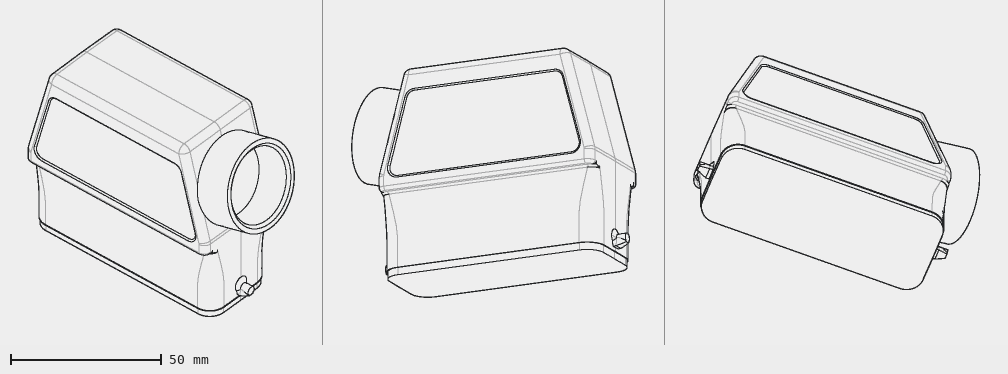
import cadquery as cq
import math

LENGTH = 96.8
HEIGHT = 70.3
BODY_HALF_LENGTH = 39.7
HOOD_HALF_WIDTH = 18.0
LEAN = 15.0
DRAFT = 0.2
CROWN = 0.4

BEND_Z = 34.3
BEND_RADIUS = 4.5
SHOULDER_Z = 28.9
HOOD_RADIUS = 2.7
SHOULDER_RADIUS = 1.2
COVE_RADIUS = 0.8

SKIRT_HALF_WIDTH = 14.7
RIM_HEIGHT = 2.5
RIM_INSET = 0.3
RIM_RADIUS = 6.0
TOP_CORNER_RADIUS = 2.9
SKIRT_CORNERS = [
    (RIM_HEIGHT, 6.3),
    (9.7, 6.3),
    (15.5, 6.0),
    (21.3, 4.8),
    (SHOULDER_Z, TOP_CORNER_RADIUS),
    (SHOULDER_Z + SHOULDER_RADIUS, TOP_CORNER_RADIUS),
]

PANEL_TOP = 62.3
PANEL_BOTTOM = 32.6
PANEL_MARGIN = 3.9
PANEL_DEPTH = 0.5
PANEL_RADIUS = 2.9
PANEL_WALL_ANGLE = 55.0

PIN_TIP_X = 44.1
PIN_Z = 6.7
PIN_RADIUS = 3.2 / 2
PIN_ROOT_X = 40.9
FLARE_RADIUS = 3.0
FLARE_Z = 7.55
FLARE_INSET = 0.2
RIB_ROOT_TOP_HALF_WIDTH = 2.5
RIB_BOTTOM_Z = 3.9
RIB_ROOT_HALF_WIDTH = 1.8
RIB_TIP_HALF_WIDTH = 0.9

PORT_RADIUS = 32.5 / 2
PORT_BORE_RADIUS = 26.9 / 2
PORT_CHAMFER = 1.1
PORT_LENGTH = 13.5
PORT_Z = 53.7

EMBED = 2.9
EDGE_TOLERANCE = 1.0

lean_slope = math.tan(math.radians(LEAN))
draft_slope = math.tan(math.radians(DRAFT))
crown_slope = math.tan(math.radians(CROWN))


def half_length_at(z):
    """Half length of the leaning part of the hood at height z."""
    return BODY_HALF_LENGTH - (z - BEND_Z) * lean_slope


def edges_where(shape, wanted):
    """Select the edges whose centre passes the test."""
    return shape.newObject([edge for edge in shape.edges().vals() if wanted(edge.Center())])


def crowned_half():
    """Side outline, front half only, drafted away from the middle plane."""
    top = half_length_at(HEIGHT)
    outline = [
        (-BODY_HALF_LENGTH, -EMBED),
        (BODY_HALF_LENGTH, -EMBED),
        (BODY_HALF_LENGTH, BEND_Z),
        (top, HEIGHT),
        (-top, HEIGHT),
        (-BODY_HALF_LENGTH, BEND_Z),
    ]
    return cq.Workplane("XZ").polyline(outline).close().extrude(HOOD_HALF_WIDTH + EMBED, taper=CROWN)


def hood_half():
    """Upper body with leaning ends and rounded edges."""
    top_half_width = HOOD_HALF_WIDTH - (HEIGHT - SHOULDER_Z) * draft_slope
    end_outline = [
        (0, SHOULDER_Z),
        (-HOOD_HALF_WIDTH, SHOULDER_Z),
        (-top_half_width, HEIGHT),
        (0, HEIGHT),
    ]
    bar = cq.Workplane("YZ").polyline(end_outline).close().extrude(BODY_HALF_LENGTH, both=True)
    hood = crowned_half().intersect(bar)

    def off_middle(c):
        return c.y < -EDGE_TOLERANCE

    def on_bend(c):
        return off_middle(c) and abs(c.z - BEND_Z) < EDGE_TOLERANCE

    def on_outline_or_top(c):
        on_long_side = c.y < -HOOD_HALF_WIDTH + EDGE_TOLERANCE and c.z > SHOULDER_Z + EDGE_TOLERANCE
        on_top = off_middle(c) and c.z > HEIGHT - EDGE_TOLERANCE
        return on_long_side or on_top

    def on_lower_edge(c):
        return off_middle(c) and c.z < SHOULDER_Z + EDGE_TOLERANCE

    hood = edges_where(hood, on_bend).fillet(BEND_RADIUS)
    hood = edges_where(hood, on_outline_or_top).fillet(HOOD_RADIUS)
    return edges_where(hood, on_lower_edge).fillet(SHOULDER_RADIUS)


def skirt_section(inset, radius):
    """Front half of the skirt's cross section, with crowned ends and rounded corners."""
    half_length = BODY_HALF_LENGTH - inset
    half_width = SKIRT_HALF_WIDTH - inset
    corner_x = half_length - half_width * crown_slope
    outline = [
        (-half_length, 0),
        (-corner_x, -half_width),
        (corner_x, -half_width),
        (half_length, 0),
        (-half_length, 0),
    ]
    return cq.Sketch().polygon(outline).vertices("<Y").fillet(radius)


def skirt_half():
    """Lower body; its corners sharpen towards the shoulder."""
    sections = [
        skirt_section(0, radius).moved(cq.Location(cq.Vector(0, 0, z)))
        for z, radius in SKIRT_CORNERS
    ]
    skirt = cq.Workplane().placeSketch(*sections).loft()
    rim = cq.Workplane().placeSketch(skirt_section(RIM_INSET, RIM_RADIUS)).extrude(RIM_HEIGHT)
    return skirt.union(rim)


def cove_half():
    """Concave round between the skirt and the underside of the hood."""
    straight_half = BODY_HALF_LENGTH - TOP_CORNER_RADIUS
    corner_y = TOP_CORNER_RADIUS - SKIRT_HALF_WIDTH
    profile = (
        cq.Workplane("YZ", origin=(-straight_half, 0, 0))
        .moveTo(-SKIRT_HALF_WIDTH, SHOULDER_Z - COVE_RADIUS)
        .radiusArc((-SKIRT_HALF_WIDTH - COVE_RADIUS, SHOULDER_Z), -COVE_RADIUS)
        .line(0, SHOULDER_RADIUS)
        .line(COVE_RADIUS + TOP_CORNER_RADIUS / 2, 0)
        .line(0, -COVE_RADIUS - SHOULDER_RADIUS)
        .close()
    )
    cove = profile.extrude(2 * straight_half)
    corner = profile.toPending().revolve(90, (corner_y, 0, 0), (corner_y, -1, 0))
    cove = cove.union(corner).union(corner.mirror("YZ"))
    return cove.intersect(crowned_half())


def panel_recess():
    """Cutter for the shallow panel; the hood draft makes it deeper at the bottom."""
    wall_run = PANEL_DEPTH * math.tan(math.radians(PANEL_WALL_ANGLE))
    floor_bottom = PANEL_BOTTOM + wall_run
    floor_top = PANEL_TOP - wall_run / 2
    bottom_half = half_length_at(floor_bottom) - PANEL_MARGIN - wall_run / 2
    top_half = half_length_at(floor_top) - PANEL_MARGIN - wall_run / 2
    floor = [
        (-bottom_half, floor_bottom),
        (bottom_half, floor_bottom),
        (top_half, floor_top),
        (-top_half, floor_top),
    ]
    outline = cq.Sketch().polygon(floor + floor[:1]).vertices().fillet(PANEL_RADIUS)
    return (
        cq.Workplane("XZ", origin=(0, PANEL_DEPTH - HOOD_HALF_WIDTH, 0))
        .placeSketch(outline)
        .extrude(2 * PANEL_DEPTH, taper=-PANEL_WALL_ANGLE)
    )


def rib_section(x, top_half_width, bottom_half_width, bottom_z):
    """Trapezoid across the pin at x, from the pin centre down to bottom_z."""
    corners = [
        cq.Vector(x, -top_half_width, PIN_Z),
        cq.Vector(x, top_half_width, PIN_Z),
        cq.Vector(x, bottom_half_width, bottom_z),
        cq.Vector(x, -bottom_half_width, bottom_z),
    ]
    return cq.Wire.makePolygon(corners, close=True)


def locking_pin():
    """Pin on the +X end with a flared root and a tapering rib underneath."""
    pin = (
        cq.Workplane("YZ", origin=(BODY_HALF_LENGTH - EMBED, 0, PIN_Z))
        .circle(PIN_RADIUS)
        .extrude(PIN_TIP_X - BODY_HALF_LENGTH + EMBED)
    )
    flare_start = BODY_HALF_LENGTH - FLARE_INSET
    flare = (
        cq.Workplane("YZ", origin=(flare_start, 0, FLARE_Z))
        .circle(FLARE_RADIUS)
        .workplane(offset=PIN_ROOT_X - flare_start)
        .center(0, PIN_Z - FLARE_Z)
        .circle(PIN_RADIUS)
        .loft()
    )

    inner = rib_section(flare_start, RIB_ROOT_TOP_HALF_WIDTH, RIB_ROOT_HALF_WIDTH, RIB_BOTTOM_Z)
    root = rib_section(PIN_ROOT_X, PIN_RADIUS, RIB_ROOT_HALF_WIDTH, RIB_BOTTOM_Z)
    tip = rib_section(PIN_TIP_X, PIN_RADIUS, RIB_TIP_HALF_WIDTH, PIN_Z - PIN_RADIUS)
    rib_base = cq.Workplane(cq.Solid.makeLoft([inner, root], True))
    rib = cq.Workplane(cq.Solid.makeLoft([root, tip], True))
    return pin.union(flare).union(rib_base).union(rib)


def port_plane():
    """Plane on the lip of the cable port, facing outwards."""
    lean = math.radians(LEAN)
    lip_x = LENGTH - PIN_TIP_X - PORT_RADIUS * math.sin(lean)
    return cq.Plane(
        origin=(lip_x, 0, PORT_Z),
        xDir=(0, 1, 0),
        normal=(math.cos(lean), 0, math.sin(lean)),
    )


def add_port(body):
    """Join the leaning collar to the +X end and bore it to the wall of the hood."""
    collar = cq.Workplane(port_plane()).circle(PORT_RADIUS).extrude(-PORT_LENGTH - EMBED)
    bore = cq.Workplane(port_plane()).circle(PORT_BORE_RADIUS).extrude(-PORT_LENGTH)
    mouth = (
        cq.Workplane(port_plane())
        .circle(PORT_BORE_RADIUS + PORT_CHAMFER)
        .extrude(-PORT_CHAMFER, taper=45)
    )
    return body.union(collar).cut(bore).cut(mouth)


half = hood_half().union(cove_half()).union(skirt_half()).cut(panel_recess())
body = half.union(half.mirror("XZ"))
pin = locking_pin()
result = add_port(body.union(pin).union(pin.mirror("YZ"))).solids()